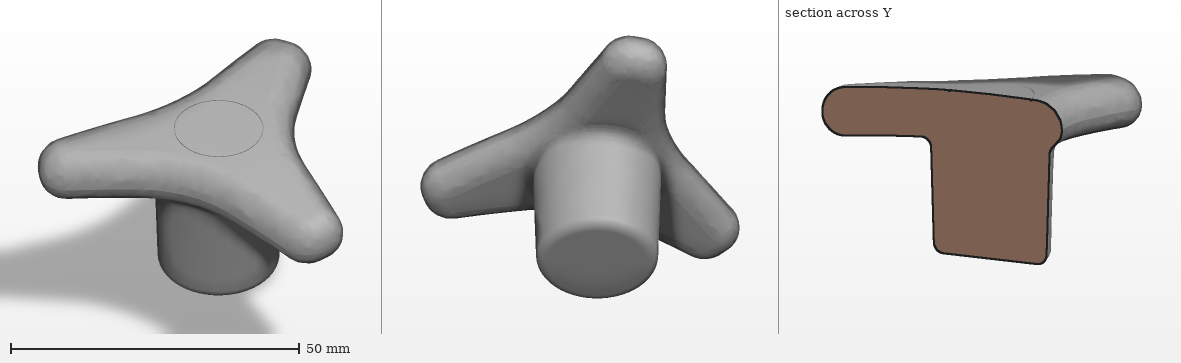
import cadquery as cq
import math

ARM_COUNT = 3
TOTAL_HEIGHT = 29.9

TIP_REACH = 31.48
TIP_CORNER_RADIUS = 5.0
TIP_FLAT_HALF_WIDTH = 0.85
ARM_TAPER = math.radians(12.4)
VALLEY_DISTANCE = 13.46

TOP_DOME_RADIUS = 210.0
HEAD_THICKNESS = 8.8
UPPER_EDGE_RADIUS = 4.9
LOWER_EDGE_RADIUS = 3.9

HUB_BASE_RADIUS = 10.55
HUB_DRAFT = math.radians(1.7)
HUB_BASE_FILLET = 1.9
HUB_TOP_Z = 24.0
HUB_NECK_FILLET = 1.7

CAP_DIAMETER = 15.25
CAP_SEAT_DIAMETER = 15.55
CAP_GROOVE_DEPTH = 0.3

SECTOR = 2 * math.pi / ARM_COUNT
DOME_CENTER_Z = TOTAL_HEIGHT - TOP_DOME_RADIUS


def polar(radius, angle):
    return (radius * math.cos(angle), radius * math.sin(angle))


def turned(point, angle):
    x, y = point
    return (
        x * math.cos(angle) - y * math.sin(angle),
        x * math.sin(angle) + y * math.cos(angle),
    )


def head_outline():
    """Closed plan outline of the arms, centred on the hub axis."""
    corner_x = TIP_REACH - TIP_CORNER_RADIUS
    corner_y = TIP_FLAT_HALF_WIDTH
    side_angle = math.pi / 2 - ARM_TAPER
    valley_angle = SECTOR / 2

    side_distance = (
        corner_x * math.cos(side_angle)
        + corner_y * math.sin(side_angle)
        + TIP_CORNER_RADIUS
    )
    alignment = math.cos(side_angle - valley_angle)
    valley_radius = (VALLEY_DISTANCE * alignment - side_distance) / (1 - alignment)
    valley_x, valley_y = polar(VALLEY_DISTANCE + valley_radius, valley_angle)

    def on_corner(angle):
        dx, dy = polar(TIP_CORNER_RADIUS, angle)
        return (corner_x + dx, corner_y + dy)

    side_dx, side_dy = polar(valley_radius, side_angle)
    flat_start = (TIP_REACH, -corner_y)
    flat_end = on_corner(0)
    corner_middle = on_corner(side_angle / 2)
    corner_end = on_corner(side_angle)
    valley_start = (valley_x - side_dx, valley_y - side_dy)
    valley_middle = polar(VALLEY_DISTANCE, valley_angle)

    def mirrored(point):
        return (point[0], -point[1])

    outline = cq.Workplane("XY").moveTo(*flat_start)
    for index in range(ARM_COUNT):
        here = index * SECTOR
        following = here + SECTOR
        outline = (
            outline.lineTo(*turned(flat_end, here))
            .threePointArc(turned(corner_middle, here), turned(corner_end, here))
            .lineTo(*turned(valley_start, here))
            .threePointArc(
                turned(valley_middle, here),
                turned(mirrored(valley_start), following),
            )
            .lineTo(*turned(mirrored(corner_end), following))
            .threePointArc(
                turned(mirrored(corner_middle), following),
                turned(flat_start, following),
            )
        )
    return outline.close()


def dome(radius):
    """Ball centred below the part on the hub axis, its poles and seam kept clear of the head."""
    ball = cq.Workplane("XY").sphere(radius)
    return ball.rotate((0, 0, 0), (0, 1, 0), 90).translate((0, 0, DOME_CENTER_Z))


def height(shape):
    return shape.Center().z


def make_head():
    blank = head_outline().extrude(TOTAL_HEIGHT)
    head = blank.intersect(dome(TOP_DOME_RADIUS)).cut(dome(TOP_DOME_RADIUS - HEAD_THICKNESS))
    head = head.faces("%SPHERE").faces(">Z").edges().fillet(UPPER_EDGE_RADIUS)
    underside = min(head.faces("%SPHERE").vals(), key=height)
    return head.newObject(underside.Edges()).fillet(LOWER_EDGE_RADIUS)


def make_hub():
    """Tapered boss that widens towards the head and ends inside it."""
    top_radius = HUB_BASE_RADIUS + HUB_TOP_Z * math.tan(HUB_DRAFT)
    hub = cq.Workplane(cq.Solid.makeCone(HUB_BASE_RADIUS, top_radius, HUB_TOP_Z))
    return hub.faces("<Z").edges().fillet(HUB_BASE_FILLET)


def round_neck(knob):
    """Fillet the joint between the hub wall and the underside of the head."""
    hub_wall = knob.faces("%CONE")
    wall_ends = hub_wall.edges("not %LINE").vals()
    joint = [edge for edge in wall_ends if height(edge) > TOTAL_HEIGHT / 2]
    return knob.newObject(joint).fillet(HUB_NECK_FILLET)


def cut_cap_groove(knob):
    groove = (
        cq.Workplane("XY", origin=(0, 0, TOTAL_HEIGHT - CAP_GROOVE_DEPTH))
        .circle(CAP_SEAT_DIAMETER / 2)
        .circle(CAP_DIAMETER / 2)
        .extrude(CAP_GROOVE_DEPTH)
    )
    return knob.cut(groove)


result = cut_cap_groove(round_neck(make_head().union(make_hub())))